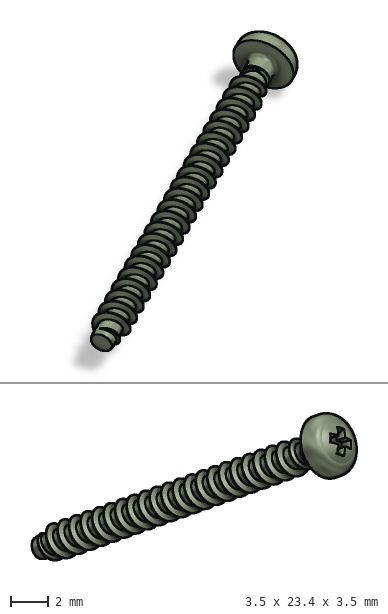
import cadquery as cq
import math


head_diameter = 3.5
head_height = 1.4
crown_radius = 2.5
crown_edge_radius = 1.2
rim_height = 0.43

wing_span = 1.6
wing_width = 0.5
recess_depth = 0.7
recess_taper = 15.0

screw_length = 22.0
neck_diameter = 1.54
neck_length = 0.95
neck_fillet = 0.32
core_diameter = 1.31
core_blend_length = 0.2
tip_diameter = 1.22
tip_taper_length = 0.25

thread_diameter = 2.04
pitch = 0.891
thread_root_width = 0.32
thread_crest_width = 0.04
thread_embed = 0.08
first_crest_depth = 2.18
thread_start_depth = 0.55
lead_in_length = 1.6
tip_fade_start = 1.15
tip_fade_end = 0.3
points_per_turn = 16

head_radius = head_diameter / 2
neck_radius = neck_diameter / 2
core_radius = core_diameter / 2
tip_radius = tip_diameter / 2
thread_radius = thread_diameter / 2


def make_body():
    """Head, fillet, neck, core and tip as one revolved outline."""
    crown_center = head_height - crown_radius
    crown_mid_radius = crown_edge_radius / 2
    crown_mid_height = crown_center + math.sqrt(crown_radius**2 - crown_mid_radius**2)
    crown_edge_height = crown_center + math.sqrt(crown_radius**2 - crown_edge_radius**2)
    fillet_mid = neck_fillet * (1 - math.sqrt(0.5))
    outline = (
        cq.Workplane("XZ")
        .moveTo(0, -screw_length)
        .lineTo(tip_radius, -screw_length)
        .lineTo(core_radius, -screw_length + tip_taper_length)
        .lineTo(core_radius, -neck_length - core_blend_length)
        .lineTo(neck_radius, -neck_length)
        .lineTo(neck_radius, -neck_fillet)
        .threePointArc((neck_radius + fillet_mid, -fillet_mid), (neck_radius + neck_fillet, 0))
        .lineTo(head_radius, 0)
        .lineTo(head_radius, rim_height)
        .tangentArcPoint((crown_edge_radius, crown_edge_height), relative=False)
        .threePointArc((crown_mid_radius, crown_mid_height), (0, head_height))
        .close()
    )
    return outline.revolve(360, (0, 0, 0), (0, 1, 0))


def make_recess():
    """Cross-shaped cutter whose wings lean inwards towards a flat bottom."""
    bottom_half_span = wing_span / 2 - recess_depth * math.tan(math.radians(recess_taper))
    wing = (
        cq.Workplane("XZ")
        .moveTo(-wing_span / 2, head_height)
        .lineTo(wing_span / 2, head_height)
        .lineTo(bottom_half_span, head_height - recess_depth)
        .lineTo(-bottom_half_span, head_height - recess_depth)
        .close()
        .extrude(wing_width / 2, both=True)
    )
    return wing.union(wing.rotate((0, 0, 0), (0, 0, 1), 90))


def crest_radius(depth):
    """Crest radius at a depth below the bearing face, faded at both ends."""
    buried_radius = core_radius - thread_embed / 2
    lead_in = (depth - thread_start_depth) / lead_in_length
    fade_out = (screw_length - tip_fade_end - depth) / (tip_fade_start - tip_fade_end)
    fullness = max(0.0, min(1.0, lead_in, fade_out))
    return buried_radius + fullness * (thread_radius - buried_radius)


def make_strand(radius_at, axial_shift):
    """Right-handed spiral curve around Z, one of the four long edges of the thread."""
    top = thread_start_depth
    bottom = screw_length - tip_fade_end
    steps = math.ceil((bottom - top) / pitch * points_per_turn)
    turns = []
    points = []
    for step in range(steps + 1):
        depth = top + (bottom - top) * step / steps
        turn = (depth - first_crest_depth) / pitch
        angle = math.pi - 2 * math.pi * turn
        radius = radius_at(depth)
        turns.append(turn)
        points.append(
            cq.Vector(radius * math.cos(angle), radius * math.sin(angle), axial_shift - depth)
        )
    return cq.Edge.makeSpline(points, parameters=turns)


def root_radius(depth):
    """Inner edge of the thread, the same at every depth and inside the core."""
    return core_radius - thread_embed


def make_thread():
    """Helical ridge with four spiral faces and a flat cap, hidden in the body, at each end."""
    flank_slope = (thread_root_width - thread_crest_width) / 2 / (thread_radius - core_radius)
    root_half_width = thread_root_width / 2 + thread_embed * flank_slope
    crest_half_width = thread_crest_width / 2
    strands = [
        make_strand(root_radius, -root_half_width),
        make_strand(crest_radius, -crest_half_width),
        make_strand(crest_radius, crest_half_width),
        make_strand(root_radius, root_half_width),
    ]
    next_strands = strands[1:] + strands[:1]
    faces = [cq.Face.makeRuledSurface(near, far) for near, far in zip(strands, next_strands)]
    for end in (0, 1):
        corners = [strand.positionAt(end) for strand in strands]
        faces.append(cq.Face.makeFromWires(cq.Wire.makePolygon(corners, close=True)))
    return cq.Workplane(cq.Solid.makeSolid(cq.Shell.makeShell(faces)).fix())


screw = make_body().union(make_thread()).cut(make_recess())
result = screw.rotate((0, 0, 0), (1, 0, 0), -90).solids()